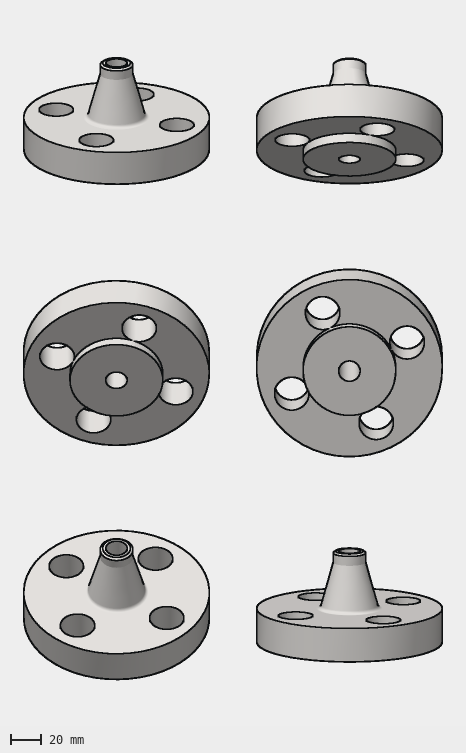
import cadquery as cq
import math


flange_diameter = 120.65
flange_thickness = 22.35
raised_face_diameter = 60.3
raised_face_height = 6.35

hub_base_diameter = 38.1
hub_height = 38.1
hub_fillet_radius = 3.0

neck_diameter = 21.3
neck_length = 7.5
bevel_angle = 37.5
bevel_land = 2.1
bore_diameter = 13.85

bolt_hole_count = 4
bolt_hole_diameter = 22.35
bolt_circle_diameter = 82.55

neck_start = hub_height - neck_length
flange_bottom = -flange_thickness
part_bottom = flange_bottom - raised_face_height
land_radius = bore_diameter / 2 + bevel_land
bevel_width = neck_diameter / 2 - land_radius
bevel_height = bevel_width * math.tan(math.radians(bevel_angle))


def make_cylinder(diameter, bottom, height):
    """Upright cylinder on the Z axis."""
    return cq.Workplane("XY").workplane(offset=bottom).circle(diameter / 2).extrude(height)


def make_flange_disc():
    """Plain disc that carries the bolt holes."""
    return make_cylinder(flange_diameter, flange_bottom, flange_thickness)


def make_raised_face():
    """Round pad under the disc."""
    return make_cylinder(raised_face_diameter, part_bottom, raised_face_height)


def make_hub():
    """Tapered hub, straight neck and weld bevel, revolved about Z."""
    return (
        cq.Workplane("XZ")
        .moveTo(0, 0)
        .lineTo(hub_base_diameter / 2, 0)
        .lineTo(neck_diameter / 2, neck_start)
        .lineTo(neck_diameter / 2, hub_height - bevel_height)
        .lineTo(land_radius, hub_height)
        .lineTo(0, hub_height)
        .close()
        .revolve(360, (0, 0, 0), (0, 1, 0))
    )


def fillet_hub_base(body):
    """Round the corner between the hub taper and the disc."""
    half_size = hub_base_diameter / 2 + hub_fillet_radius
    corner_edges = cq.selectors.BoxSelector(
        (-half_size, -half_size, -hub_fillet_radius),
        (half_size, half_size, hub_fillet_radius),
        boundingbox=True,
    )
    return body.edges(corner_edges).fillet(hub_fillet_radius)


def cut_bore(body):
    """Through bore along the axis."""
    bore_length = hub_height - part_bottom
    return body.cut(make_cylinder(bore_diameter, part_bottom, bore_length))


def cut_bolt_holes(body):
    """Bolt holes on the X and Y axes, just nicking the side of the raised face."""
    holes = (
        cq.Workplane("XY")
        .workplane(offset=part_bottom)
        .polarArray(bolt_circle_diameter / 2, 0, 360, bolt_hole_count)
        .circle(bolt_hole_diameter / 2)
        .extrude(flange_thickness + raised_face_height)
    )
    return body.cut(holes)


flange = make_flange_disc().union(make_raised_face()).union(make_hub())
flange = fillet_hub_base(flange)
flange = cut_bore(flange)
result = cut_bolt_holes(flange)